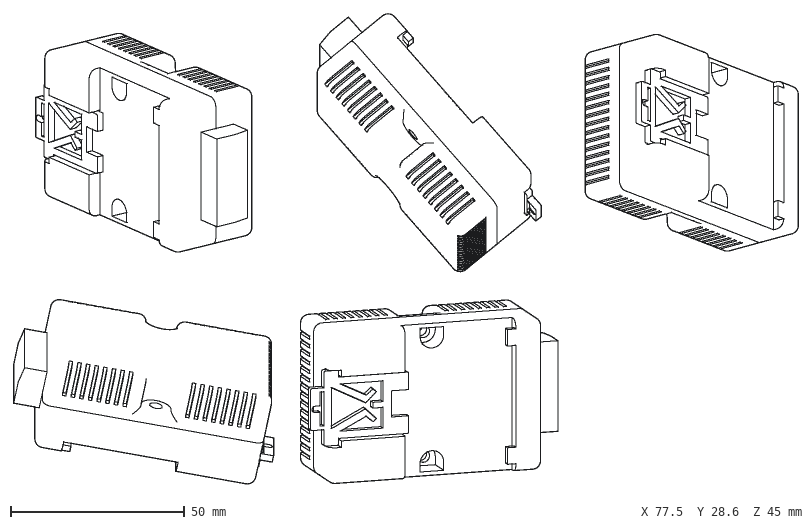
import cadquery as cq


case_length = 65.0
case_height = 45.0
case_depth = 28.6
edge_radius = 2.55
half_depth = case_depth / 2
case_left = -case_length / 2
case_right = case_length / 2
case_top = case_height / 2

slot_width = 1.0
slot_inner_end = 4.0
side_slot_depth = 2.0
side_slots_per_group = 8
side_group_start = 9.2
side_group_length = 17.8
slot_pitch = side_group_length / (side_slots_per_group - 1)
end_slot_depth = 1.2
end_slot_count = 15
end_slots_centre = -0.3

grip_half_width = 4.4
grip_floor = 14.9
grip_ledge = 4.2

screw_offset = 18.45
screw_diameter = 3.65
pocket_radius = 3.6
pocket_arc_centre = 18.8
pocket_flat = 21.25
pocket_depth = 7.75

channel_left = -9.4
channel_right = 24.3
channel_floor = -10.5
hook_reach = 2.55
hook_thickness = 1.8
hook_inner = 15.05
hook_outer = case_top - edge_radius

connector_reach = 7.5
connector_half_height = 13.4
connector_front = -5.3
connector_back = 6.4
connector_bevel_run = 0.9
connector_bevel_start = 1.55

recess_step = -28.8
recess_wide_half = 11.4
recess_narrow_half = 9.5
clip_thickness = 2.1
clip_left = -37.55
clip_shoulder = -33.5
clip_step = -29.0
clip_right = -7.75
clip_tab_half = 6.2
clip_wide_half = 11.1
clip_narrow_half = 9.1
clip_corner_radius = 0.5
clip_notch_left = -12.95
clip_notch_half = 3.9
tab_slot_width = 1.2
tab_slot_half = 5.05
tab_groove_left = -37.1
tab_groove_half = 0.9

window_left = -31.25
window_left_half = 6.05
window_right = -15.5
window_half = 7.0
arm_elbow = (-20.9, 0.85)
arm_tip_outer = (-17.5, 3.95)
arm_tip_inner = (-18.5, 4.9)
arm_crook = (-20.6, 3.1)
arm_root = -28.55
stop_left = -18.6
stop_half = 0.85


def block(x_range, y_range, z_range):
    """Box between the given limits."""
    (x0, x1), (y0, y1), (z0, z1) = x_range, y_range, z_range
    return cq.Workplane("XY").box(x1 - x0, y1 - y0, z1 - z0, centered=False).translate((x0, y0, z0))


def extrude_along_y(outline, y_start, y_end):
    """Extrude an outline drawn in X and Z from y_start to y_end."""
    return outline.extrude(y_start - y_end).translate((0, y_start, 0))


def case_half(y_range):
    """Plain block for one half of the case."""
    return block((case_left, case_right), y_range, (-case_top, case_top))


def both_z_sides(body):
    """The body together with its mirror image below Z = 0."""
    return body.union(body.mirror("XY"))


def screw_holes():
    """Two holes through both halves of the case."""
    centres = [(0, screw_offset), (0, -screw_offset)]
    outline = cq.Workplane("XZ").pushPoints(centres).circle(screw_diameter / 2)
    return extrude_along_y(outline, -half_depth, half_depth)


def grip():
    """Round-bottomed notch, open to the back and to the top of the cover."""
    arc_centre = grip_floor + grip_half_width
    outline = (
        cq.Workplane("XZ")
        .moveTo(-grip_half_width, case_top)
        .lineTo(-grip_half_width, arc_centre)
        .threePointArc((0, grip_floor), (grip_half_width, arc_centre))
        .lineTo(grip_half_width, case_top)
        .close()
    )
    return extrude_along_y(outline, grip_ledge, half_depth)


def side_slots():
    """Two groups of slots in the top side, mirrored to the bottom side."""
    slots = cq.Workplane("XY")
    for side in (-1, 1):
        for number in range(side_slots_per_group):
            x = side * (side_group_start + number * slot_pitch)
            slots = slots.union(
                block(
                    (x - slot_width / 2, x + slot_width / 2),
                    (slot_inner_end, half_depth),
                    (case_top - side_slot_depth, case_top),
                )
            )
    return both_z_sides(slots)


def end_slots():
    """Row of slots in the left end."""
    slots = cq.Workplane("XY")
    for number in range(end_slot_count):
        z = end_slots_centre + (number - (end_slot_count - 1) / 2) * slot_pitch
        slots = slots.union(
            block(
                (case_left, case_left + end_slot_depth),
                (slot_inner_end, half_depth),
                (z - slot_width / 2, z + slot_width / 2),
            )
        )
    return slots


def connector():
    """Block on the right end, bevelled at its outer back edge."""
    outer = case_right + connector_reach
    return (
        cq.Workplane("XY")
        .moveTo(case_right, connector_front)
        .lineTo(outer, connector_front)
        .lineTo(outer, connector_bevel_start)
        .lineTo(outer - connector_bevel_run, connector_back)
        .lineTo(case_right, connector_back)
        .close()
        .extrude(connector_half_height, both=True)
    )


def make_cover():
    cover = case_half((0, half_depth)).cut(both_z_sides(grip()))
    cover = cover.faces("<X or >X or >Y or <Z or >Z").edges("not(<Y)").fillet(edge_radius)
    return cover.cut(side_slots()).cut(end_slots()).cut(screw_holes()).union(connector())


def screw_pocket():
    """D-shaped pocket around the upper screw hole, flat towards the top of the case."""
    outline = (
        cq.Workplane("XZ")
        .moveTo(-pocket_radius, pocket_flat)
        .lineTo(-pocket_radius, pocket_arc_centre)
        .threePointArc((0, pocket_arc_centre - pocket_radius), (pocket_radius, pocket_arc_centre))
        .lineTo(pocket_radius, pocket_flat)
        .close()
    )
    return extrude_along_y(outline, channel_floor, channel_floor + pocket_depth)


def rail_channel():
    return block((channel_left, channel_right), (-half_depth, channel_floor), (-case_top, case_top))


def rail_hook():
    return block(
        (channel_right - hook_reach, channel_right),
        (-half_depth, -half_depth + hook_thickness),
        (hook_inner, hook_outer),
    )


def clip_recess():
    depth = (-half_depth, channel_floor)
    wide = block((case_left, recess_step), depth, (-recess_wide_half, recess_wide_half))
    narrow = block((recess_step, channel_left), depth, (-recess_narrow_half, recess_narrow_half))
    return wide.union(narrow)


def make_base():
    base = case_half((-half_depth, 0)).edges("not(>Y)").fillet(edge_radius)
    base = base.cut(rail_channel()).cut(clip_recess())
    base = base.cut(both_z_sides(screw_pocket())).cut(screw_holes())
    return base.union(both_z_sides(rail_hook()))


def mirrored_outline(upper_points):
    """Closed outline from its points above Z = 0, in order, and their mirror images."""
    lower_points = [(x, -z) for x, z in reversed(upper_points)]
    return cq.Workplane("XZ").polyline(upper_points + lower_points).close()


def clip_plate():
    outline = mirrored_outline([
        (clip_left, clip_tab_half),
        (clip_shoulder, clip_tab_half),
        (clip_shoulder, clip_wide_half),
        (clip_step, clip_wide_half),
        (clip_step, clip_narrow_half),
        (clip_right, clip_narrow_half),
        (clip_right, clip_notch_half),
        (clip_notch_left, clip_notch_half),
    ])
    plate = extrude_along_y(outline, channel_floor - clip_thickness, channel_floor)
    plate = plate.edges("|Y").edges("<X or >Z or <Z").fillet(clip_corner_radius)
    return plate.edges("|Y and >X").edges("<Z or >Z").fillet(clip_corner_radius)


def clip_window():
    outline = mirrored_outline([
        (window_left, window_left_half),
        arm_elbow,
        arm_tip_outer,
        arm_tip_inner,
        arm_crook,
        (arm_root, window_half),
        (window_right, window_half),
        (window_right, stop_half),
        (stop_left, stop_half),
    ])
    return extrude_along_y(outline, channel_floor - clip_thickness, channel_floor)


def tab_slot():
    """T-shaped slot in the pull tab with a rounded end."""
    depth = (channel_floor - clip_thickness, channel_floor)
    slot = block((clip_shoulder - tab_slot_width, clip_shoulder), depth, (-tab_slot_half, tab_slot_half))
    round_centre = tab_groove_left + tab_groove_half
    groove = block((round_centre, clip_shoulder), depth, (-tab_groove_half, tab_groove_half))
    end_outline = cq.Workplane("XZ").center(round_centre, 0).circle(tab_groove_half)
    return slot.union(groove).union(extrude_along_y(end_outline, *depth))


def make_clip():
    return clip_plate().cut(clip_window()).cut(tab_slot())


cover = make_cover()
base = make_base()
clip = make_clip()
result = cq.Compound.makeCompound([cover.val(), base.val(), clip.val()])